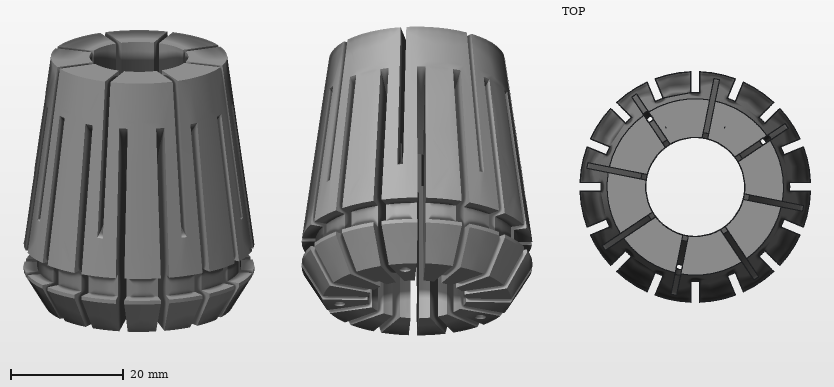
import cadquery as cq
import math

height = 46.0
max_radius = 20.5
top_radius = 15.7
nose_radius = 16.75
nose_height = 6.3
groove_bottom = 7.0
groove_top = 11.1
groove_radius = 18.12
bore_radius = 8.8

lower_slot_count = 16
lower_slot_width = 1.5
lower_slot_top = 37.9
lower_arc_center = (41.35, 14.25)

upper_slot_count = 8
upper_slot_width = 1.0
upper_slot_bottom = 18.0
upper_arc_center = (29.0, 40.0)
upper_arc_end_radius = 9.75
upper_lip_angle = 17.0
upper_first_angle = 1.5 * 360 / lower_slot_count

hole_angles = [upper_first_angle + step * 360 / upper_slot_count for step in (0, 2, 5)]
hole_diameter = 2.0
hole_base_radius = 13.95
hole_tilt = 3.0
hole_depth = 24.15

clearance = 2.3
outer_reach = max_radius + clearance
inner_reach = bore_radius - clearance
arc_overrun = 0.1


def cone_radius(z):
    """Radius of the long outer taper at height z."""
    share = (z - groove_top) / (height - groove_top)
    return max_radius + share * (top_radius - max_radius)


def make_body():
    profile = [
        (bore_radius, 0),
        (nose_radius, 0),
        (max_radius, nose_height),
        (max_radius, groove_bottom),
        (groove_radius, groove_bottom),
        (groove_radius, groove_top),
        (max_radius, groove_top),
        (top_radius, height),
        (bore_radius, height),
    ]
    return cq.Workplane("XZ").polyline(profile).close().revolve(360, (0, 0, 0), (0, 1, 0))


def floor_arc(center, edge_point, outer_radius, inner_radius):
    """Outer, middle and inner points of a slot floor arc that passes through edge_point."""
    center_radius, center_height = center
    edge_radius, edge_height = edge_point
    arc_radius = math.hypot(center_radius - edge_radius, edge_height - center_height)
    side = math.copysign(1, edge_height - center_height)
    points = []
    for radius in (outer_radius, (outer_radius + inner_radius) / 2, inner_radius):
        rise = math.sqrt(arc_radius**2 - (center_radius - radius) ** 2)
        points.append((radius, center_height + side * rise))
    return points


def lower_slot_cutter():
    edge_radius = cone_radius(lower_slot_top)
    outer, middle, inner = floor_arc(
        lower_arc_center,
        (edge_radius, lower_slot_top),
        edge_radius + arc_overrun,
        bore_radius - arc_overrun,
    )
    return (
        cq.Workplane("XZ")
        .moveTo(inner_reach, -clearance)
        .lineTo(outer_reach, -clearance)
        .lineTo(outer_reach, outer[1])
        .lineTo(*outer)
        .threePointArc(middle, inner)
        .lineTo(inner_reach, inner[1])
        .close()
        .extrude(lower_slot_width / 2, both=True)
    )


def upper_slot_cutter():
    edge_radius = cone_radius(upper_slot_bottom)
    outer, middle, inner = floor_arc(
        upper_arc_center,
        (edge_radius, upper_slot_bottom),
        edge_radius + arc_overrun,
        upper_arc_end_radius,
    )
    lip_drop = (upper_arc_end_radius - inner_reach) * math.tan(math.radians(upper_lip_angle))
    return (
        cq.Workplane("XZ")
        .moveTo(inner_reach, height + clearance)
        .lineTo(outer_reach, height + clearance)
        .lineTo(outer_reach, outer[1])
        .lineTo(*outer)
        .threePointArc(middle, inner)
        .lineTo(inner_reach, inner[1] - lip_drop)
        .close()
        .extrude(upper_slot_width / 2, both=True)
    )


def hole_cutter():
    """Hole that leans outward as it rises from the large end."""
    return (
        cq.Workplane("XY")
        .circle(hole_diameter / 2)
        .extrude(hole_depth + clearance)
        .translate((0, 0, -clearance))
        .rotate((0, 0, 0), (0, 1, 0), hole_tilt)
        .translate((hole_base_radius, 0, 0))
    )


def cut_around(body, cutter, angles):
    for angle in angles:
        body = body.cut(cutter.rotate((0, 0, 0), (0, 0, 1), angle))
    return body


lower_angles = [step * 360 / lower_slot_count for step in range(lower_slot_count)]
upper_angles = [upper_first_angle + step * 360 / upper_slot_count for step in range(upper_slot_count)]

result = make_body()
result = cut_around(result, lower_slot_cutter(), lower_angles)
result = cut_around(result, upper_slot_cutter(), upper_angles)
result = cut_around(result, hole_cutter(), hole_angles)